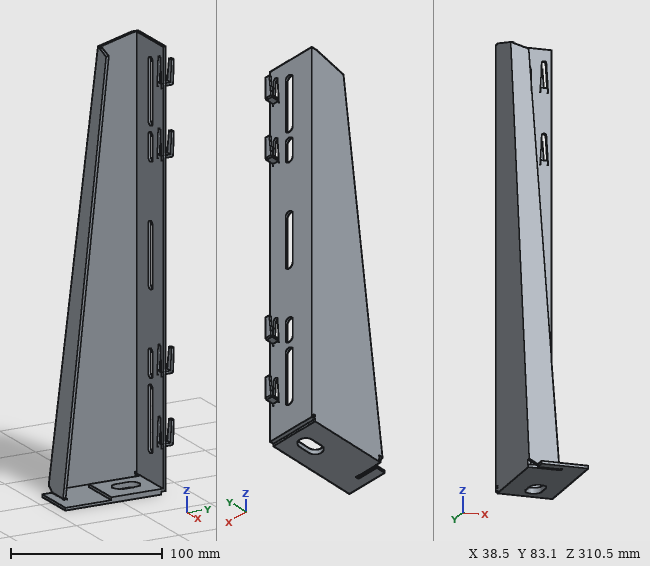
import cadquery as cq
import math


WIDTH = 38.49
HEIGHT = 310.48
SHEET = 2.0
FOOT_REACH = 75.0
HOOK_REACH = 8.07

TOP_FLAT_DEPTH = 4.6
TOP_FRONT_DEPTH = 30.1
TOP_FRONT_Z = 304.0
BOTTOM_FRONT_DEPTH = 67.6
REAR_NOTCH_DEPTH = 3.2
CORNER_NOTCH_TOP = 5.2
FRONT_NOTCH_DEPTH = 63.8

FLANGE_TOP_WIDTH = 12.4
FLANGE_BOTTOM_WIDTH = 20.9
FLANGE_TIP_Z = 300.5

FOOT_LEFT = 5.9
SLIT_START = 65.0
SLIT_END = 67.5
SLIT_LENGTH = 22.7

REAR_FLANGE_BOTTOM = SHEET
REAR_FLANGE_TOP = REAR_FLANGE_BOTTOM + SHEET
REAR_FLANGE_DEPTH = 40.6
REAR_FLANGE_LEFT = 7.0

SLOT_X = 20.9
FLOOR_SLOT_LENGTH = 20.0
FLOOR_SLOT_WIDTH = 11.2
FLOOR_SLOT_DEPTH = 20.3
BACK_SLOT_WIDTH = 6.4
LONG_SLOT_LENGTH = 47.5
SHORT_SLOT_LENGTH = 20.5
SLOT_PATTERN_Z = 160.9
LONG_SLOT_OFFSET = 113.6
SHORT_SLOT_OFFSET = 75.0

HOOK_X = 33.2
HOOK_FOOT_HEIGHTS = [32.0, 82.0, 232.0, 282.0]
HOOK_HEIGHT = 17.2
HOOK_ROOT_WIDTH = 5.0
HOOK_TIP_WIDTH = 3.5
HOOK_THICKNESS = 1.9
HOOK_LEG_REACH = 7.1
WINDOW_DROP = 1.2
WINDOW_TOP_RISE = 20.4
WINDOW_ROOT_WIDTH = 5.7
WINDOW_TOP_WIDTH = 3.2

BACK_CUT = 3 * SHEET


def box(x_range, y_range, z_range):
    """Block between pairs of opposite corners."""
    size = [end - start for start, end in (x_range, y_range, z_range)]
    origin = (x_range[0], y_range[0], z_range[0])
    return cq.Workplane("XY").box(*size, centered=False).translate(origin)


def extrude_along_x(outline, start, end):
    """Prism of a (Y, Z) outline between two X positions."""
    return cq.Workplane("YZ").workplane(offset=start).polyline(outline).close().extrude(end - start)


def extrude_along_y(outline, rear, front):
    """Prism of an (X, Z) outline from a rear Y back to a front Y."""
    return cq.Workplane("XZ", origin=(0, rear, 0)).polyline(outline).close().extrude(rear - front)


def front_depth(z):
    """Depth of the sloping front edge at a given height."""
    taper = (BOTTOM_FRONT_DEPTH - TOP_FRONT_DEPTH) / TOP_FRONT_Z
    return BOTTOM_FRONT_DEPTH - taper * z


def make_side_plate():
    outline = [
        (0, CORNER_NOTCH_TOP),
        (0, HEIGHT),
        (-TOP_FLAT_DEPTH, HEIGHT),
        (-TOP_FRONT_DEPTH, TOP_FRONT_Z),
        (-front_depth(CORNER_NOTCH_TOP), CORNER_NOTCH_TOP),
        (-FRONT_NOTCH_DEPTH, CORNER_NOTCH_TOP),
        (-FRONT_NOTCH_DEPTH, 0),
        (-REAR_NOTCH_DEPTH, 0),
        (-REAR_NOTCH_DEPTH, CORNER_NOTCH_TOP),
    ]
    return extrude_along_x(outline, 0, SHEET)


def make_front_flange():
    slope = math.atan2(BOTTOM_FRONT_DEPTH - TOP_FRONT_DEPTH, TOP_FRONT_Z)
    sheet_along_y = SHEET / math.cos(slope)
    bottom_z = REAR_FLANGE_BOTTOM
    bottom_depth = front_depth(bottom_z)
    section = [
        (-bottom_depth, bottom_z),
        (-TOP_FRONT_DEPTH, TOP_FRONT_Z),
        (sheet_along_y - TOP_FRONT_DEPTH, TOP_FRONT_Z),
        (sheet_along_y - bottom_depth, bottom_z),
    ]
    face = [
        (0, CORNER_NOTCH_TOP),
        (0, TOP_FRONT_Z),
        (FLANGE_TOP_WIDTH, FLANGE_TIP_Z),
        (FLANGE_BOTTOM_WIDTH, bottom_z),
        (FOOT_LEFT, bottom_z),
    ]
    strip = extrude_along_x(section, 0, FLANGE_BOTTOM_WIDTH)
    return strip.intersect(extrude_along_y(face, 0, -FOOT_REACH))


def make_floor():
    floor = box((0, WIDTH), (-FOOT_REACH, -REAR_NOTCH_DEPTH), (0, SHEET))
    z_range = (-SHEET, 2 * SHEET)
    floor = floor.cut(box((-SHEET, SLIT_LENGTH), (-SLIT_END, -SLIT_START), z_range))
    return floor.cut(box((-SHEET, FOOT_LEFT), (-FOOT_REACH, -SLIT_END), z_range))


def make_back_and_rear_flange():
    back = box((0, WIDTH), (-SHEET, 0), (REAR_FLANGE_BOTTOM, HEIGHT))
    flange_z = (REAR_FLANGE_BOTTOM, REAR_FLANGE_TOP)
    bend_strip = box((0, WIDTH), (-REAR_NOTCH_DEPTH, 0), flange_z)
    flange = box((REAR_FLANGE_LEFT, WIDTH), (-REAR_FLANGE_DEPTH, 0), flange_z)
    return back.union(bend_strip).union(flange)


def back_slot(z, length):
    return (
        cq.Workplane("XZ", origin=(SLOT_X, BACK_CUT / 2, z))
        .slot2D(length, BACK_SLOT_WIDTH, 90)
        .extrude(BACK_CUT)
    )


def floor_slot():
    return (
        cq.Workplane("XY", origin=(SLOT_X, -FLOOR_SLOT_DEPTH, -SHEET))
        .slot2D(FLOOR_SLOT_LENGTH, FLOOR_SLOT_WIDTH, 90)
        .extrude(REAR_FLANGE_TOP + 2 * SHEET)
    )


def hook_window(foot_z):
    """Tapered window with a round top, around one hook."""
    top_radius = WINDOW_TOP_WIDTH / 2
    shoulder = WINDOW_TOP_RISE - top_radius
    return (
        cq.Workplane("XZ", origin=(HOOK_X, BACK_CUT / 2, foot_z))
        .moveTo(-WINDOW_ROOT_WIDTH / 2, -WINDOW_DROP)
        .lineTo(-top_radius, shoulder)
        .threePointArc((0, WINDOW_TOP_RISE), (top_radius, shoulder))
        .lineTo(WINDOW_ROOT_WIDTH / 2, -WINDOW_DROP)
        .close()
        .extrude(BACK_CUT)
    )


def make_hook(foot_z):
    """L-shaped tongue whose upright leans outward and narrows to its tip."""
    leg_top = foot_z + HOOK_THICKNESS
    tip_z = foot_z + HOOK_HEIGHT
    profile = [
        (-SHEET, foot_z - WINDOW_DROP),
        (0, foot_z - WINDOW_DROP),
        (0, foot_z),
        (HOOK_LEG_REACH - HOOK_THICKNESS / 2, foot_z),
        (HOOK_LEG_REACH, foot_z + HOOK_THICKNESS / 2),
        (HOOK_REACH, tip_z),
        (HOOK_REACH - HOOK_THICKNESS, tip_z),
        (HOOK_LEG_REACH - HOOK_THICKNESS, leg_top),
        (-SHEET, leg_top),
    ]
    half_root = HOOK_ROOT_WIDTH / 2
    half_tip = HOOK_TIP_WIDTH / 2
    taper = [
        (HOOK_X - half_root, foot_z - WINDOW_DROP),
        (HOOK_X + half_root, foot_z - WINDOW_DROP),
        (HOOK_X + half_root, leg_top),
        (HOOK_X + half_tip, tip_z),
        (HOOK_X - half_tip, tip_z),
        (HOOK_X - half_root, leg_top),
    ]
    tongue = extrude_along_x(profile, HOOK_X - half_root, HOOK_X + half_root)
    return tongue.intersect(extrude_along_y(taper, HOOK_REACH, -SHEET))


def make_bracket():
    bracket = make_back_and_rear_flange().union(make_side_plate())
    for folded_piece in (make_front_flange(), make_floor()):
        bracket = bracket.union(folded_piece)

    bracket = bracket.cut(floor_slot()).cut(back_slot(SLOT_PATTERN_Z, LONG_SLOT_LENGTH))
    for side in (-1, 1):
        bracket = bracket.cut(back_slot(SLOT_PATTERN_Z + side * LONG_SLOT_OFFSET, LONG_SLOT_LENGTH))
        bracket = bracket.cut(back_slot(SLOT_PATTERN_Z + side * SHORT_SLOT_OFFSET, SHORT_SLOT_LENGTH))

    for foot_z in HOOK_FOOT_HEIGHTS:
        bracket = bracket.cut(hook_window(foot_z)).union(make_hook(foot_z))
    return bracket


result = make_bracket()